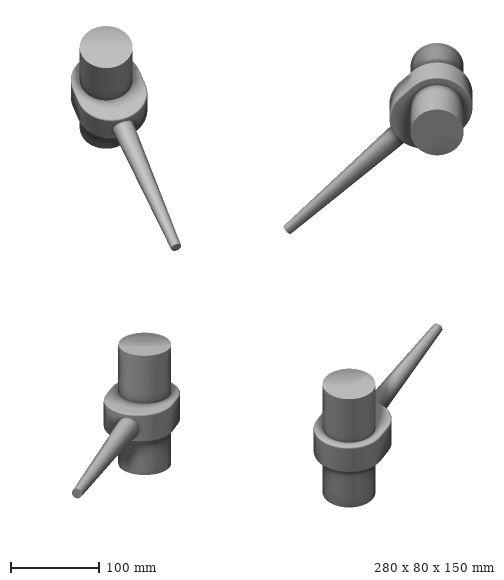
import cadquery as cq

pin_diameter = 60.0
pin_height = 150.0

collar_width = 80.0
collar_length = 100.0
collar_height = 35.0
collar_middle_z = -2.5
collar_edge_radius = 2.0

overall_length = 280.0
handle_root_diameter = 28.8
handle_tip_diameter = 12.0
handle_axis_z = -2.0

arc_spacing = collar_length - collar_width
handle_length = overall_length - collar_width / 2


def make_pin():
    return cq.Workplane("XY").circle(pin_diameter / 2).extrude(pin_height / 2, both=True)


def make_collar():
    return (
        cq.Workplane("XY", origin=(arc_spacing / 2, 0, collar_middle_z))
        .slot2D(collar_length, collar_width)
        .extrude(collar_height / 2, both=True)
        .faces("|Z")
        .edges()
        .fillet(collar_edge_radius)
    )


def make_handle():
    return (
        cq.Workplane("XZ", origin=(0, 0, handle_axis_z))
        .lineTo(0, -handle_root_diameter / 2)
        .lineTo(handle_length, -handle_tip_diameter / 2)
        .lineTo(handle_length, 0)
        .close()
        .revolve(360, (0, 0), (1, 0))
    )


result = make_pin().union(make_collar()).union(make_handle())